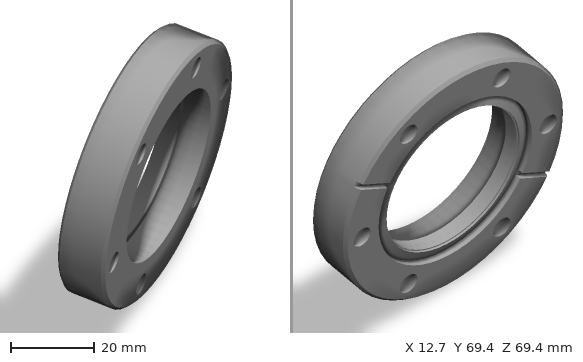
import cadquery as cq


OUTER_RADIUS = 34.7
THICKNESS = 12.7
RIM_CHAMFER = 0.8

BOLT_COUNT = 6
BOLT_CIRCLE_RADIUS = 29.3
BOLT_HOLE_DIAMETER = 5.5

GROOVE_WIDTH = 1.5
GROOVE_DEPTH = 1.6
GROOVE_ANGLE = 30.0

SEAT_RADIUS = 24.1
INSERT_CLEARANCE = 0.2
SHOULDER_X = 7.8
SOCKET_RADIUS = 22.5

KNIFE_RADIUS = 20.95
KNIFE_X = 0.75
KNIFE_ROOT_X = 1.8
INSERT_BORE_RADIUS = 20.6
BORE_STEP_X = 1.4
LIP_END_X = 5.5


def make_flange():
    """Chamfered bolt ring with a stepped bore and two leak-check grooves."""
    ring = cq.Workplane("YZ").circle(OUTER_RADIUS).extrude(THICKNESS)
    ring = ring.edges().chamfer(RIM_CHAMFER)
    ring = ring.cut(cq.Workplane("YZ").circle(SOCKET_RADIUS).extrude(THICKNESS))
    ring = ring.cut(cq.Workplane("YZ").circle(SEAT_RADIUS).extrude(SHOULDER_X))
    holes = (
        cq.Workplane("YZ")
        .polarArray(BOLT_CIRCLE_RADIUS, 0, 360, BOLT_COUNT)
        .circle(BOLT_HOLE_DIAMETER / 2)
        .extrude(THICKNESS)
    )
    grooves = (
        cq.Workplane("YZ")
        .rect(2 * OUTER_RADIUS, GROOVE_WIDTH)
        .extrude(GROOVE_DEPTH)
        .rotate((0, 0, 0), (1, 0, 0), GROOVE_ANGLE)
    )
    return ring.cut(holes).cut(grooves)


def make_insert():
    """Ring with a raised knife edge, resting on the flange shoulder."""
    profile = [
        (SHOULDER_X, SOCKET_RADIUS),
        (LIP_END_X, SOCKET_RADIUS),
        (LIP_END_X, INSERT_BORE_RADIUS),
        (BORE_STEP_X, INSERT_BORE_RADIUS),
        (BORE_STEP_X, KNIFE_RADIUS),
        (KNIFE_X, KNIFE_RADIUS),
        (KNIFE_ROOT_X, SEAT_RADIUS - INSERT_CLEARANCE),
        (SHOULDER_X, SEAT_RADIUS - INSERT_CLEARANCE),
    ]
    return cq.Workplane("XY").polyline(profile).close().revolve(360, (0, 0, 0), (1, 0, 0))


flange = make_flange()
insert = make_insert()

result = cq.Compound.makeCompound([flange.val(), insert.val()])